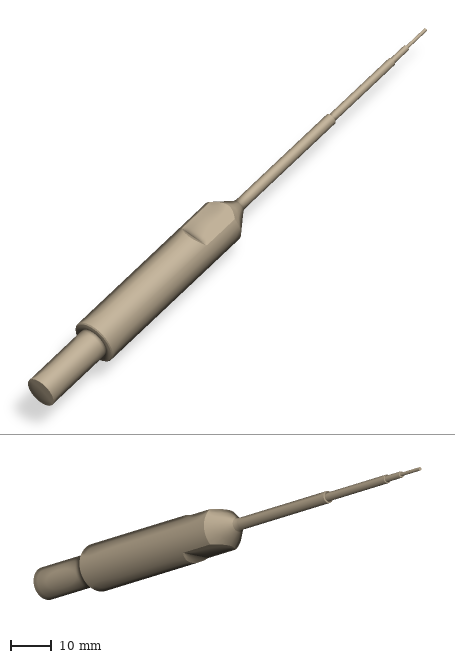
import cadquery as cq

total_length = 145.0

shank_diameter = 8.3
body_diameter = 12.0
stem_diameter = 3.0
middle_rod_diameter = 2.2
front_rod_diameter = 1.6
tip_diameter = 0.9

shank_end = 19.9
body_end = 68.5
cone_end = 74.4
stem_end = 109.3
middle_rod_end = 132.2
front_rod_end = 137.8

body_rear_chamfer = 0.3

flare_length = 1.5
flare_growth = 0.22

flats_width = 9.0
flats_start = 57.9
flat_ramp_length = 1.6


def cylinder(diameter, start, end):
    """Cylinder on the Y axis between two stations."""
    plane = cq.Workplane("XZ", origin=(0, start, 0))
    return plane.circle(diameter / 2).extrude(start - end)


def make_body_and_stem():
    """Stem with a flared root, cone and grip with a chamfered rear edge."""
    body_radius = body_diameter / 2
    stem_radius = stem_diameter / 2
    return (
        cq.Workplane("XY")
        .moveTo(0, stem_end)
        .lineTo(stem_radius, stem_end)
        .lineTo(stem_radius, cone_end + flare_length)
        .tangentArcPoint((stem_radius + flare_growth, cone_end), relative=False)
        .lineTo(body_radius, body_end)
        .lineTo(body_radius, shank_end + body_rear_chamfer)
        .lineTo(body_radius - body_rear_chamfer, shank_end)
        .lineTo(0, shank_end)
        .close()
        .revolve(360, (0, 0, 0), (0, 1, 0))
    )


def make_flat_cutter():
    """Material above the upper flat, with a ramp at its rear end."""
    floor = flats_width / 2
    top = body_diameter / 2
    return (
        cq.Workplane("YZ")
        .moveTo(flats_start, floor)
        .lineTo(cone_end, floor)
        .lineTo(cone_end, top)
        .lineTo(flats_start - flat_ramp_length, top)
        .close()
        .extrude(body_diameter / 2, both=True)
    )


upper_cutter = make_flat_cutter()
lower_cutter = upper_cutter.mirror("XY")

result = (
    make_body_and_stem()
    .cut(upper_cutter)
    .cut(lower_cutter)
    .union(cylinder(shank_diameter, 0, shank_end))
    .union(cylinder(middle_rod_diameter, stem_end, middle_rod_end))
    .union(cylinder(front_rod_diameter, middle_rod_end, front_rod_end))
    .union(cylinder(tip_diameter, front_rod_end, total_length))
)